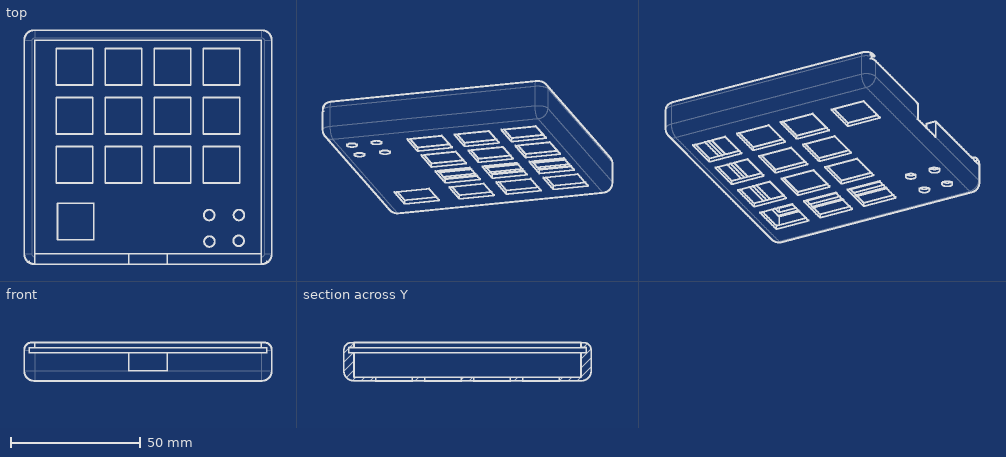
import cadquery as cq

width = 96.0
length = 90.8
height = 15.0
corner_radius = 4.0
bottom_radius = 3.9
top_radius = 3.0

wall = 4.0
floor_thickness = 1.5
cavity_width = width - 2 * wall
cavity_length = length - 2 * wall

slot_bottom = 11.0
slot_height = 1.9
slot_undercut = 2.0
slot_top = slot_bottom + slot_height
slot_width = cavity_width + 2 * slot_undercut

notch_width = 15.0
notch_bottom = bottom_radius

key_size = 14.0
key_pitch = 19.0
key_columns = 4
key_rows = 3
middle_key_row_y = 12.2
single_key_center = (-28.0, -28.8)

round_hole_diameter = 4.0
round_hole_centers = [(23.7, -26.3), (35.2, -26.3), (35.1, -36.3), (23.8, -36.6)]

front = -length / 2
cavity_back = cavity_length / 2


def box_between(size_x, y_start, y_end, z_start, z_end):
    """Box centred on X that spans the given Y and Z ranges."""
    return (
        cq.Workplane("XY")
        .box(size_x, y_end - y_start, z_end - z_start, centered=(True, False, False))
        .translate((0, y_start, z_start))
    )


def rounded_block():
    """Solid block with rounded corners and rounded top and bottom edges."""
    block = cq.Workplane("XY").box(width, length, height, centered=(True, True, False))
    block = block.edges("|Z").fillet(corner_radius)
    block = block.faces(">Z").edges().fillet(top_radius)
    return block.faces("<Z").edges().fillet(bottom_radius)


def key_centers():
    """Centres of the key grid, followed by the single key."""
    centers = []
    for row in range(key_rows):
        for column in range(key_columns):
            x = (column - (key_columns - 1) / 2) * key_pitch
            y = middle_key_row_y + (row - (key_rows - 1) / 2) * key_pitch
            centers.append((x, y))
    return centers + [single_key_center]


def floor_openings():
    """Cutters for the key openings and the round holes."""
    keys = cq.Workplane("XY").pushPoints(key_centers()).rect(key_size, key_size).extrude(slot_bottom)
    holes = cq.Workplane("XY").pushPoints(round_hole_centers)
    return keys.union(holes.circle(round_hole_diameter / 2).extrude(slot_bottom))


cavity = box_between(cavity_width, front + wall, cavity_back, floor_thickness, height)
lid_slot = box_between(slot_width, front, cavity_back + slot_undercut, slot_bottom, slot_top)
lip_opening = box_between(cavity_width, front, cavity_back, slot_bottom, height)
front_notch = box_between(notch_width, front, front + wall, notch_bottom, height)

result = (
    rounded_block()
    .cut(cavity)
    .cut(lid_slot)
    .cut(lip_opening)
    .cut(front_notch)
    .cut(floor_openings())
)